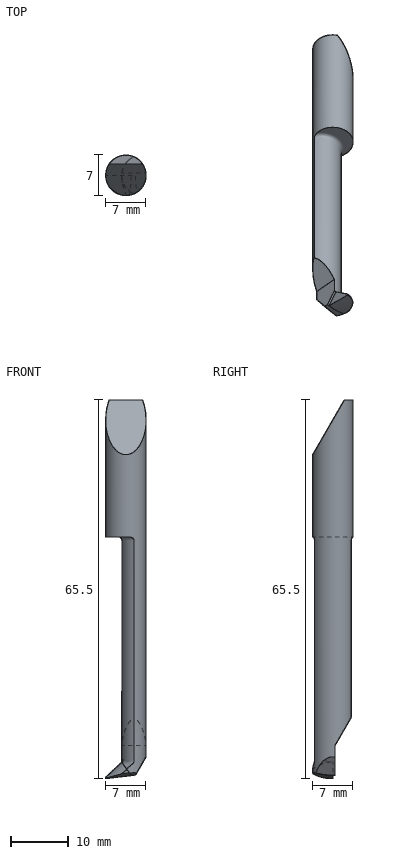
import cadquery as cq
import math

length = 65.5
diameter = 7.0
radius = diameter / 2
slant_angle = 30.0
top_flat_edge_y = 1.95

shoulder_z = 41.8
neck_bottom_z = 2.9
neck_left_x = -0.7
neck_radius = 3.5
shoulder_fillet = 0.6
runout_fillet = 0.6

ledge_top_z = 5.75
ledge_y = 0.4
rake_y = 0.0
heel_top_z = 3.8
bottom_rise = 0.12
bottom_relief_radius = 11.8
flank_end_z = 0.25
flank_radius = 4.8
joint_run = 1.4
joint_drop = 2.0
runout_slope_x = 0.7
runout_slope_y = 0.75
runout_start_y = -1.2

big = 4 * diameter
margin = 0.65
slant_tan = math.tan(math.radians(slant_angle))


def prism_along_x(points):
    """Prism through the whole width in X from (y, z) points."""
    return cq.Workplane("YZ").polyline(points).close().extrude(big, both=True)


def prism_along_y(points):
    """Prism through the whole depth in Y from (x, z) points."""
    return cq.Workplane("XZ").polyline(points).close().extrude(big, both=True)


def round_rod(start, direction, rod_radius):
    """Long rod centred on start and running both ways along direction."""
    plane = cq.Plane(origin=start, xDir=(0, 1, 0), normal=direction)
    return cq.Workplane(plane).circle(rod_radius).extrude(big, both=True)


def outside_neck(bottom_z, top_z):
    """Everything between two heights that lies outside the neck round."""
    neck_center_x = neck_left_x + neck_radius
    height = top_z - bottom_z
    block = cq.Workplane("XY", origin=(0, 0, bottom_z)).rect(big, big).extrude(height)
    neck = (
        cq.Workplane("XY", origin=(neck_center_x, 0, bottom_z))
        .circle(neck_radius)
        .extrude(height)
    )
    return block.cut(neck)


def neck_cutter():
    """Material removed around the neck, filleted under the shoulder and along the runout facet."""
    normal = (-runout_slope_x, -runout_slope_y, 1)
    facet = cq.Plane(origin=(neck_left_x, runout_start_y, neck_bottom_z), normal=normal)
    above_facet = cq.Workplane(facet).rect(4 * length, 4 * length).extrude(2 * length)
    inner_edges = cq.selectors.BoxSelector(
        (neck_left_x - margin, -neck_radius - margin, -length),
        (neck_left_x + 2 * neck_radius + margin, neck_radius + margin, shoulder_z + margin),
        boundingbox=True,
    )
    full_neck = outside_neck(-length / 2, shoulder_z).intersect(above_facet)
    filleted = full_neck.edges(inner_edges).edges("<Z").fillet(runout_fillet)
    return filleted.edges(inner_edges).edges(">Z").fillet(shoulder_fillet)


def neck_back_cutter():
    """Material removed around the neck behind the runout facet, square at its lower end."""
    behind_facet = cq.Workplane("XZ", origin=(0, runout_start_y, 0)).rect(big, 2 * length).extrude(-big)
    return outside_neck(neck_bottom_z, shoulder_z - shoulder_fillet).intersect(behind_facet)


def above_tip_cutter():
    """Space on the -X side of the neck, above the cutting tip."""
    cutter_top = shoulder_z - shoulder_fillet
    return prism_along_y([
        (neck_left_x, neck_bottom_z),
        (-big, neck_bottom_z),
        (-big, cutter_top),
        (neck_left_x, cutter_top),
    ])


def top_flat_cutter():
    run = top_flat_edge_y + big
    return prism_along_x([
        (top_flat_edge_y, length),
        (-big, length - run / slant_tan),
        (-big, length),
    ])


def ledge_cutter():
    """Slanted flat on the +Y side, ending in the upright ledge."""
    return prism_along_x([
        (ledge_y, -big),
        (ledge_y, ledge_top_z),
        (big, ledge_top_z + (big - ledge_y) / slant_tan),
        (big, -big),
    ])


def heel_cutter():
    return prism_along_y([
        (radius, heel_top_z),
        (radius - (heel_top_z + big) * slant_tan, -big),
        (radius, -big),
    ])


def bottom_relief(blank):
    """Keep what lies above the curved clearance under the cutting edge."""
    edge = cq.Vector(1, 0, bottom_rise).normalized()
    up = cq.Vector(-edge.z, 0, edge.x)
    start = cq.Vector(-radius, 0, 0) + up * bottom_relief_radius
    below = cq.Workplane("XY", origin=(0, 0, -margin)).rect(big, big).extrude(neck_bottom_z + margin)
    return blank.cut(below.cut(round_rod(start, edge, bottom_relief_radius)))


def tip_zone():
    """Space on the -X side of the joint plane, below the neck."""
    reach = neck_bottom_z + margin
    return prism_along_y([
        (neck_left_x, neck_bottom_z),
        (neck_left_x + reach * joint_run / joint_drop, neck_bottom_z - reach),
        (-big, neck_bottom_z - reach),
        (-big, neck_bottom_z),
    ])


def make_blank():
    """Round bar with the neck, heel and bottom clearance shaped."""
    bar = cq.Workplane("XY").circle(radius).extrude(length)
    necked_bar = bar.cut(neck_back_cutter()).cut(above_tip_cutter())
    return bottom_relief(necked_bar.cut(heel_cutter()))


def make_holder():
    return (
        make_blank()
        .cut(top_flat_cutter())
        .cut(ledge_cutter())
        .cut(tip_zone())
        .cut(neck_cutter())
    )


def make_tip():
    """Cutting tip with a flat rake face and a rounded flank."""
    edge = cq.Vector(neck_left_x + radius, 0, neck_bottom_z - flank_end_z).normalized()
    down = cq.Vector(edge.z, 0, -edge.x)
    start = cq.Vector(neck_left_x, 0, neck_bottom_z) + down * flank_radius
    behind_rake = cq.Workplane("XZ", origin=(0, rake_y, 0)).rect(big, big).extrude(big)
    return (
        make_blank()
        .intersect(tip_zone())
        .intersect(behind_rake)
        .intersect(round_rod(start, edge, flank_radius))
    )


holder = make_holder()
tip = make_tip()
result = cq.Compound.makeCompound([holder.solids().val(), tip.solids().val()])